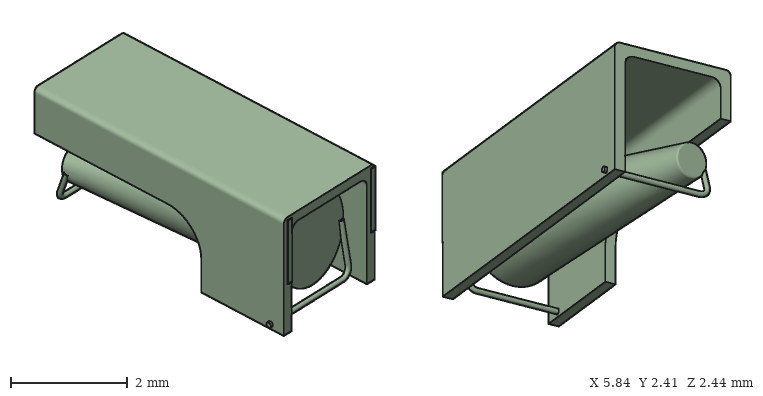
import cadquery as cq
import math

TOTAL_LENGTH = 5.84
PAD_THICKNESS = 0.02
HOUSING_LENGTH = TOTAL_LENGTH - PAD_THICKNESS
HOUSING_WIDTH = 2.31
HOUSING_HEIGHT = 2.44
WALL = 0.205
OUTER_RADIUS = 0.105
INNER_RADIUS = 0.175
HALF_WIDTH = HOUSING_WIDTH / 2
INNER_HALF_WIDTH = HALF_WIDTH - WALL

WINDOW_LENGTH = 3.895
WINDOW_HEIGHT = 1.485
WINDOW_RADIUS = 0.79

PAD_BOTTOM = 1.04
PAD_TOP = 2.375
PAD_WIDTH = 0.11

NARROW_RADIUS = 0.32
WIDE_RADIUS = 0.935
NARROW_ROUNDING = 0.035
NARROW_CENTER = cq.Vector(0.38, -0.61, 0.765)
WIDE_CENTER = cq.Vector(5.4, 0, 1.295)

WIRE_RADIUS = 0.05
WIRE_HEIGHT = 0.11
WIRE_INSET = 0.305
WIRE_OVERHANG = (2.41 - HOUSING_WIDTH) / 2
WIRE_BEND_RADIUS = 0.2
NARROW_WIRE_CORNER_Y = -0.9
NARROW_WIRE_TIP = cq.Vector(0.515, -0.89, 0.755)
WIDE_WIRE_CORNER_Y = 0.845
WIDE_WIRE_TIP = cq.Vector(5.315, 0.845, 1.17)


def make_channel():
    """Inverted U-shaped channel with rounded top edges."""
    outer = (
        cq.Workplane("XY")
        .box(HOUSING_LENGTH, HOUSING_WIDTH, HOUSING_HEIGHT, centered=(False, True, False))
        .edges("|X and >Z")
        .fillet(OUTER_RADIUS)
    )
    cavity = (
        cq.Workplane("XY")
        .box(HOUSING_LENGTH, 2 * INNER_HALF_WIDTH, HOUSING_HEIGHT - WALL, centered=(False, True, False))
        .edges("|X and >Z")
        .fillet(INNER_RADIUS)
    )
    return outer.cut(cavity)


def make_window():
    """Cutter for the window, open to the -X end and the bottom of the -Y wall."""
    return (
        cq.Workplane("XY")
        .box(WINDOW_LENGTH, WALL, WINDOW_HEIGHT, centered=False)
        .edges("|Y and >X and >Z")
        .fillet(WINDOW_RADIUS)
        .translate((0, -HALF_WIDTH, 0))
    )


def make_pad(low_y):
    """Thin raised strip on a wall end, with its -Y edge at low_y."""
    return (
        cq.Workplane("XY")
        .box(PAD_THICKNESS, PAD_WIDTH, PAD_TOP - PAD_BOTTOM, centered=False)
        .translate((HOUSING_LENGTH, low_y, PAD_BOTTOM))
    )


def make_housing(wires):
    """Channel with its window, end pads and wire holes."""
    housing = make_channel().cut(make_window())
    for low_y in (HALF_WIDTH - PAD_WIDTH, -INNER_HALF_WIDTH - PAD_WIDTH):
        housing = housing.union(make_pad(low_y))
    for wire in wires:
        housing = housing.cut(wire)
    return housing


def make_plug(wires):
    """Truncated cone with a rounded narrow rim and sockets for the wire tips."""
    axis = WIDE_CENTER - NARROW_CENTER
    cone = cq.Solid.makeCone(NARROW_RADIUS, WIDE_RADIUS, axis.Length, NARROW_CENTER, axis)
    plug = cq.Workplane(cone).edges("<X").fillet(NARROW_ROUNDING)
    for wire in wires:
        plug = plug.cut(wire)
    return plug


def make_wire(pivot_x, pivot_end_y, corner_y, tip):
    """Round wire: a straight pivot along Y, a bend, then a leg up to the tip."""
    start = cq.Vector(pivot_x, pivot_end_y, WIRE_HEIGHT)
    corner = cq.Vector(pivot_x, corner_y, WIRE_HEIGHT)
    to_start = (start - corner).normalized()
    to_tip = (tip - corner).normalized()
    half_angle = to_start.getAngle(to_tip) / 2
    setback = WIRE_BEND_RADIUS / math.tan(half_angle)
    bend_start = corner + to_start * setback
    bend_end = corner + to_tip * setback
    bisector = (to_start + to_tip).normalized()
    corner_to_arc = WIRE_BEND_RADIUS / math.sin(half_angle) - WIRE_BEND_RADIUS
    bend_middle = corner + bisector * corner_to_arc
    path = cq.Wire.assembleEdges([
        cq.Edge.makeLine(start, bend_start),
        cq.Edge.makeThreePointArc(bend_start, bend_middle, bend_end),
        cq.Edge.makeLine(bend_end, tip),
    ])
    section_plane = cq.Plane(origin=start, xDir=(1, 0, 0), normal=to_start * -1)
    return cq.Workplane(section_plane).circle(WIRE_RADIUS).sweep(cq.Workplane(path))


wire_reach = HALF_WIDTH + WIRE_OVERHANG
wire_specs = [
    (WIRE_INSET, wire_reach, NARROW_WIRE_CORNER_Y, NARROW_WIRE_TIP),
    (HOUSING_LENGTH - WIRE_INSET, -wire_reach, WIDE_WIRE_CORNER_Y, WIDE_WIRE_TIP),
]
wires = [make_wire(*spec) for spec in wire_specs]
housing = make_housing(wires)
plug = make_plug(wires)

result = cq.Compound.makeCompound([housing.solids().val(), plug.solids().val(), *[wire.val() for wire in wires]])